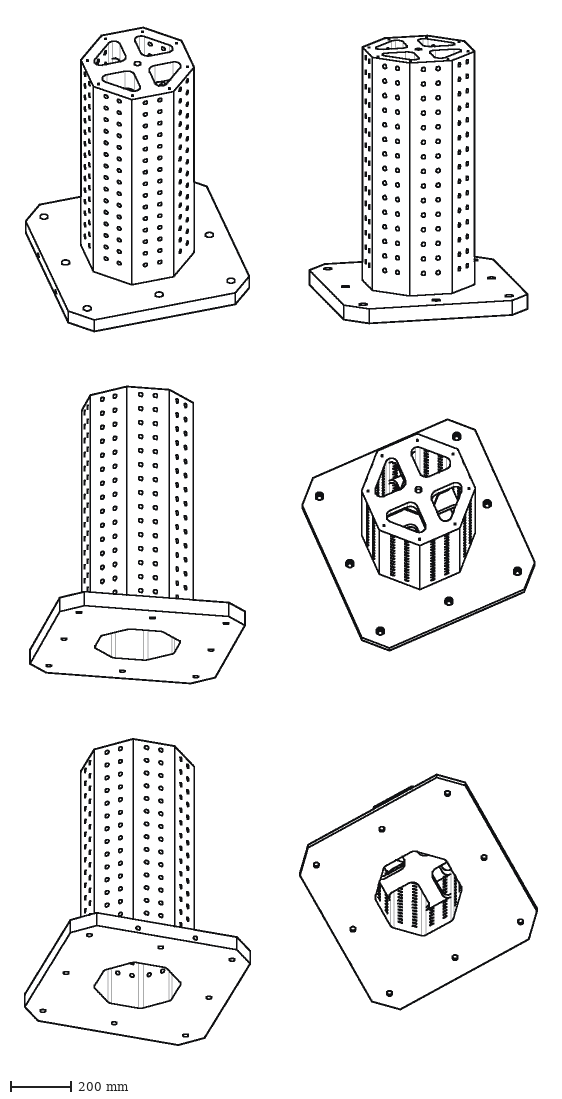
import cadquery as cq
import math

plate_side = 630.0
plate_thickness = 50.0
plate_chamfer = 70.0
bolt_offset = 250.0
bolt_diameter = 18.0
counterbore_diameter = 26.0
counterbore_depth = 25.0
side_hole_diameter = 14.0
side_hole_offset = 100.0
side_hole_height = 18.0
side_hole_depth = 40.0

total_height = 850.0
column_width = 350.0
wall_thickness = 40.0
cap_thickness = 75.0
boss_depth = 100.0
boss_width = 122.0
diaphragm_thickness = 50.0
web_width = 53.0
cavity_corner_radius = 20.0
pocket_inner_radius = 25.5

grid_rows = 15
grid_height = 700.0
grid_pitch = grid_height / (grid_rows - 1)
grid_diameter = 14.0
top_row_depth = grid_pitch / 2
diaphragm_row = 8
drill_tip_angle = 118.0

center_hole_diameter = 21.0
center_hole_depth = 50.0
pin_hole_diameter = 5.0
pin_hole_depth = 10.0
pin_circle_radius = 167.5

face_count = 8
face_angle = 360.0 / face_count
cavity_width = column_width - 2 * wall_thickness
top_row_height = total_height - top_row_depth
diaphragm_height = top_row_height - diaphragm_row * grid_pitch


def octagon(across_flats, bottom, top):
    """Octagonal prism with flats facing X and Y."""
    corner_diameter = across_flats / math.cos(math.pi / face_count)
    prism = cq.Workplane("XY").polygon(face_count, corner_diameter).extrude(top - bottom)
    return prism.rotate((0, 0, 0), (0, 0, 1), face_angle / 2).translate((0, 0, bottom))


def cavity(bottom, top):
    """Stretch of the octagonal cavity, with its upright corners rounded."""
    return octagon(cavity_width, bottom, top).edges("|Z").fillet(cavity_corner_radius)


def drill(diameter, depth):
    """Hole along +X from the origin: full diameter to the depth, then a conical tip."""
    radius = diameter / 2
    tip_length = radius / math.tan(math.radians(drill_tip_angle / 2))
    profile = [(0, 0), (0, radius), (depth, radius), (depth + tip_length, 0)]
    return cq.Workplane("XY").polyline(profile).close().revolve(360, (0, 0, 0), (1, 0, 0))


def quadrant_pockets(bottom, top):
    """List of four openings that leave a cross-shaped web inside the cavity outline."""
    block = cavity_width / 2
    center = (web_width + block) / 2
    corner = (
        cq.Workplane("XY", origin=(0, 0, bottom))
        .center(center, center)
        .rect(block, block)
        .extrude(top - bottom)
    )
    pocket = cavity(bottom, top).intersect(corner)
    low = web_width / 2
    high = cavity_width / 2
    middle = (bottom + top) / 2
    corners = {
        (low, low): pocket_inner_radius,
        (low, high): cavity_corner_radius,
        (high, low): cavity_corner_radius,
    }
    for (x, y), radius in corners.items():
        nearest = cq.selectors.NearestToPointSelector((x, y, middle))
        pocket = pocket.edges(nearest).fillet(radius)
    return [pocket.rotate((0, 0, 0), (0, 0, 1), 90 * quarter) for quarter in range(4)]


def base_plate():
    """Chamfered plate with counterbored bolt holes and two blind holes in its -Y side."""
    plate = cq.Workplane("XY").rect(plate_side, plate_side).extrude(plate_thickness)
    plate = plate.edges("|Z").chamfer(plate_chamfer)
    steps = (-bolt_offset, 0, bolt_offset)
    bolt_points = [(x, y) for x in steps for y in steps if (x, y) != (0, 0)]
    plate = (
        plate.faces(">Z").workplane(origin=(0, 0, plate_thickness))
        .pushPoints(bolt_points)
        .cboreHole(bolt_diameter, counterbore_diameter, counterbore_depth)
    )
    side_hole = drill(side_hole_diameter, side_hole_depth).rotate((0, 0, 0), (0, 0, 1), 90)
    for x in (-side_hole_offset, side_hole_offset):
        plate = plate.cut(side_hole.translate((x, -plate_side / 2, side_hole_height)))
    return plate.cut(cavity(0, plate_thickness))


def lifting_boss():
    """Square block under the middle of the cap, set at 45 degrees to the web."""
    return (
        cq.Workplane("XY", origin=(0, 0, total_height - boss_depth))
        .rect(boss_width, boss_width)
        .extrude(boss_depth - cap_thickness)
        .rotate((0, 0, 0), (0, 0, 1), 45)
    )


def column_face_holes():
    """Two columns of holes on each of the eight faces."""
    hole = drill(grid_diameter, wall_thickness).rotate((0, 0, 0), (0, 0, 1), 180)
    holes = []
    for row in range(grid_rows):
        height = top_row_height - row * grid_pitch
        for side in (-grid_pitch / 2, grid_pitch / 2):
            placed = hole.translate((column_width / 2, side, height))
            for face in range(face_count):
                holes.append(placed.rotate((0, 0, 0), (0, 0, 1), face * face_angle).val())
    return cq.Workplane(cq.Compound.makeCompound(holes))


def top_holes():
    """Blind center hole and a ring of small holes, one near each corner of the cap."""
    down = ((0, 0, 0), (0, 1, 0), 90)
    center = drill(center_hole_diameter, center_hole_depth).rotate(*down).translate((0, 0, total_height))
    pins = (
        cq.Workplane("XY", origin=(0, 0, total_height))
        .polarArray(pin_circle_radius, face_angle / 2, 360, face_count)
        .circle(pin_hole_diameter / 2)
        .extrude(-pin_hole_depth, combine=False)
    )
    return cq.Workplane(cq.Compound.makeCompound([center.val(), *pins.vals()]))


cap_bottom = total_height - cap_thickness
diaphragm_bottom = diaphragm_height - diaphragm_thickness / 2
diaphragm_top = diaphragm_height + diaphragm_thickness / 2

column = octagon(column_width, plate_thickness, total_height).cut(column_face_holes())
column = column.cut(cavity(plate_thickness, diaphragm_bottom))
column = column.cut(cavity(diaphragm_top, cap_bottom).cut(lifting_boss()))
for pocket in quadrant_pockets(diaphragm_bottom, diaphragm_top):
    column = column.cut(pocket)
for pocket in quadrant_pockets(cap_bottom, total_height):
    column = column.cut(pocket)
column = column.cut(top_holes())

result = base_plate().union(column)